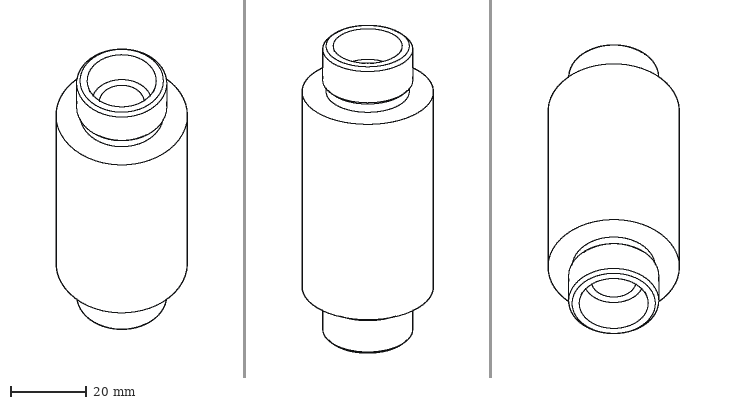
import cadquery as cq

total_length = 88.0
body_diameter = 35.0
body_length = 60.0

collar_diameter = 24.0
neck_diameter = 22.2
neck_length = 2.55
chamfer = (collar_diameter - neck_diameter) / 2

bore_diameter = 12.0
socket_diameter = 16.0
mouth_diameter = 18.4
mouth_depth = 5.6
socket_depth = 8.7

half_length = total_length / 2
collar_length = half_length - body_length / 2 - neck_length


def make_end():
    """Neck and collar at the upper end, reaching down to the part's middle."""
    collar = (
        cq.Workplane("XY")
        .workplane(offset=half_length - collar_length)
        .circle(collar_diameter / 2)
        .extrude(collar_length)
        .faces("<Z or >Z")
        .chamfer(chamfer)
    )
    neck = cq.Workplane("XY").circle(neck_diameter / 2).extrude(half_length - collar_length)
    return neck.union(collar)


def make_socket():
    """Stepped opening at the upper end: straight socket with a tapered mouth."""
    socket_radius = socket_diameter / 2
    profile = [
        (0, half_length),
        (mouth_diameter / 2, half_length),
        (socket_radius, half_length - mouth_depth),
        (socket_radius, half_length - socket_depth),
        (0, half_length - socket_depth),
    ]
    return cq.Workplane("XZ").polyline(profile).close().revolve(360, (0, 0, 0), (0, 1, 0))


end = make_end()
socket = make_socket()
bore = cq.Workplane("XY").cylinder(total_length, bore_diameter / 2)

result = cq.Workplane("XY").cylinder(body_length, body_diameter / 2)
result = result.union(end).union(end.mirror("XY"))
result = result.cut(bore).cut(socket).cut(socket.mirror("XY"))